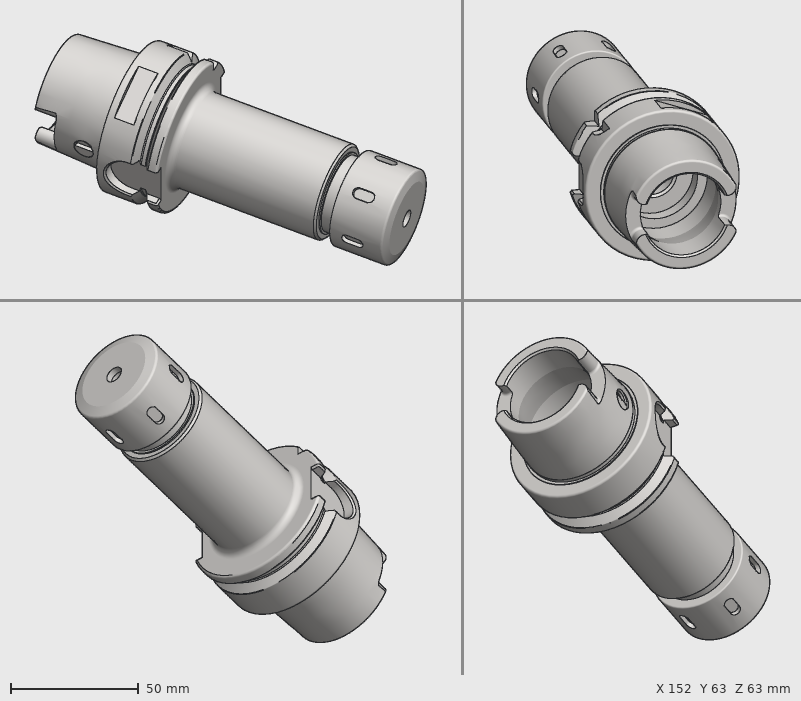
import cadquery as cq
import math


shank_length = 32.0
shank_end_radius = 22.7
shank_root_radius = 24.3
shank_end_fillet = 1.0
undercut_length = 1.5
undercut_depth = 0.25
face_relief_radius = 25.4
face_relief_depth = 0.4

flange_radius = 63.0 / 2
flange_length = 26.0
flange_edge_radius = 1.0
groove_centre = 18.15
groove_floor_radius = 27.3
groove_floor_width = 2.4
groove_flank_angle = 30.0
groove_root_radius = 0.6
groove_edge_radius = 0.3

body_radius = 40.0 / 2
body_end = 90.0
body_edge_chamfer = 0.9
body_root_fillet = 3.0
neck_radius = 32.0 / 2
neck_shoulder_radius = 34.0 / 2
neck_shoulder_length = 0.6

nut_start = 96.0
nut_end = 120.0
nut_radius = body_radius
nut_face_radius = 30.5 / 2
nut_cone_length = 1.2
nut_front_fillet = 1.0
nut_rear_fillet = 0.6
nut_wall = 3.0
wrench_slots = 6
wrench_slot_length = 9.2
wrench_slot_width = 4.4
wrench_slot_depth = 2.0
wrench_slot_centre = 106.1

mouth_radius = 35.6 / 2
clamp_bore_radius = 34.0 / 2
clamp_bore_depth = 13.0
undercut_taper_length = 13.5
bore_undercut_radius = 40.0 / 2
bore_undercut_end = 6.0
inner_bore_radius = 32.0 / 2
bore_floor = 12.0
tube_hole_radius = 17.0 / 2
tube_hole_mouth_radius = 19.0 / 2
tube_hole_depth = 20.0
coolant_radius = 7.0 / 2

key_half_width = 12.5 / 2
key_edge_radius = 3.5
key_flare_start = 16.9
key_corner_fillet = 1.1
near_key_depth = 9.8
far_key_depth = 6.0

access_hole_x = -9.1
access_hole_radius = 7.5 / 2
access_seat_radius = 8.6 / 2
access_hole_depth = 1.7
shank_taper = (shank_root_radius - shank_end_radius) / shank_length
access_shank_radius = shank_root_radius + access_hole_x * shank_taper

drive_floor = 26.4
near_drive_width = 18.0
far_drive_width = 16.0
drive_slot_start = 4.1
drive_slot_chamfer = 0.8
drive_rim_inner = (drive_floor + flange_radius) / 2

notch_radius = 16.0 / 2
notch_floor = 19.8
notch_wall = 20.0
notch_centre_x = 12.9

label_flat_start = 3.3
label_flat_length = 8.4
label_edge_angles = (0.4, 43.4)


def revolved(points):
    """Solid of revolution about X from (x, radius) points."""
    return cq.Workplane("XY").polyline(points).close().revolve(360, (0, 0, 0), (1, 0, 0))


def x_cylinder(start, end, radius):
    """Solid cylinder on the X axis between two X positions."""
    return cq.Workplane("YZ", origin=(start, 0, 0)).circle(radius).extrude(end - start)


def edges_at(x, radius):
    """Selector for the circular edges on the X axis at a given place."""
    tolerance = 0.01
    low = (x - tolerance, -radius - tolerance, -radius - tolerance)
    high = (x + tolerance, radius + tolerance, radius + tolerance)
    return cq.selectors.BoxSelector(low, high, boundingbox=True)


def make_shank():
    undercut_radius = shank_root_radius - undercut_depth
    shank = revolved([
        (-shank_length, 0),
        (-shank_length, shank_end_radius),
        (-undercut_length, shank_root_radius),
        (-undercut_length + undercut_depth, undercut_radius),
        (face_relief_depth, undercut_radius),
        (face_relief_depth, 0),
    ])
    return shank.edges(edges_at(-shank_length, shank_end_radius)).fillet(shank_end_fillet)


def make_drive_slot(width, side):
    """Round-ended slot cutter, open to the rear of the flange, on the side (-1 or 1) of Y."""
    radius = width / 2
    centre_x = drive_slot_start + radius
    return (
        cq.Workplane("XZ", origin=(0, side * drive_floor, 0))
        .moveTo(flange_length, radius)
        .lineTo(centre_x, radius)
        .threePointArc((drive_slot_start, 0), (centre_x, -radius))
        .lineTo(flange_length, -radius)
        .close()
        .extrude(-side * flange_radius)
    )


def make_notch():
    """Slot milled along Y with a round inner end, closed by an upright wall."""
    centre_z = notch_floor + notch_radius
    return (
        cq.Workplane("XZ", origin=(0, notch_wall, 0))
        .moveTo(flange_length, notch_floor)
        .lineTo(notch_centre_x, notch_floor)
        .threePointArc(
            (notch_centre_x - notch_radius, centre_z),
            (notch_centre_x, centre_z + notch_radius),
        )
        .lineTo(flange_length, centre_z + notch_radius)
        .close()
        .extrude(-flange_radius)
    )


def make_label_flat():
    """Block that mills a flat across a chord of the flange."""
    middle_angle = sum(label_edge_angles) / 2
    half_angle = (label_edge_angles[1] - label_edge_angles[0]) / 2
    flat_distance = flange_radius * math.cos(math.radians(half_angle))
    return (
        cq.Workplane("XY", origin=(0, 0, flat_distance))
        .moveTo(label_flat_start + label_flat_length / 2, 0)
        .rect(label_flat_length, 2 * flange_radius)
        .extrude(flange_radius)
        .rotate((0, 0, 0), (1, 0, 0), middle_angle)
    )


def make_groove():
    """Ring-shaped cutter with sloping flanks, rounded floor corners and rounded rims."""
    flank_angle = math.radians(groove_flank_angle)
    floor_half = groove_floor_width / 2
    flank_rise = flange_radius - groove_floor_radius
    top_half = floor_half + flank_rise * math.tan(flank_angle)
    half_turn = (math.pi / 2 - flank_angle) / 2
    root_setback = groove_root_radius * math.tan(half_turn)
    edge_setback = groove_edge_radius * math.tan(half_turn)
    flat_half = floor_half - root_setback
    root_half = floor_half + root_setback * math.sin(flank_angle)
    root_top = groove_floor_radius + root_setback * math.cos(flank_angle)
    edge_half = top_half - edge_setback * math.sin(flank_angle)
    edge_bottom = flange_radius - edge_setback * math.cos(flank_angle)
    mouth_half = top_half + edge_setback
    return (
        cq.Workplane("XY", origin=(groove_centre, 0, 0))
        .moveTo(-mouth_half, flange_radius)
        .radiusArc((-edge_half, edge_bottom), groove_edge_radius)
        .lineTo(-root_half, root_top)
        .radiusArc((-flat_half, groove_floor_radius), -groove_root_radius)
        .lineTo(flat_half, groove_floor_radius)
        .radiusArc((root_half, root_top), -groove_root_radius)
        .lineTo(edge_half, edge_bottom)
        .radiusArc((mouth_half, flange_radius), groove_edge_radius)
        .close()
        .revolve(360, (0, 0, 0), (1, 0, 0))
    )


def make_flange():
    flange = x_cylinder(0, flange_length, flange_radius).edges().fillet(flange_edge_radius)
    flange = flange.cut(x_cylinder(0, face_relief_depth, face_relief_radius))
    for width, side in ((near_drive_width, -1), (far_drive_width, 1)):
        flange = flange.cut(make_drive_slot(width, side))
        rim = cq.selectors.BoxSelector(
            (0, side * drive_rim_inner, -width),
            (flange_length - flange_edge_radius, side * 2 * flange_radius, width),
        )
        flange = flange.edges(rim).chamfer(drive_slot_chamfer)
    flange = flange.cut(make_notch()).cut(make_label_flat())
    return flange.cut(make_groove())


def make_body():
    body = x_cylinder(flange_length, body_end, body_radius)
    body = body.faces(">X").edges().chamfer(body_edge_chamfer)
    root = (
        cq.Workplane("XY")
        .moveTo(flange_length, 0)
        .lineTo(flange_length, body_radius + body_root_fillet)
        .radiusArc((flange_length + body_root_fillet, body_radius), -body_root_fillet)
        .lineTo(flange_length + body_root_fillet, 0)
        .close()
        .revolve(360, (0, 0, 0), (1, 0, 0))
    )
    neck = x_cylinder(body_end, nut_end - nut_wall, neck_radius)
    shoulder = x_cylinder(body_end, body_end + neck_shoulder_length, neck_shoulder_radius)
    return body.union(root).union(shoulder).union(neck)


def make_bore():
    """Cutter for the undercut clamping bore, the coolant tube hole and the coolant channel."""
    mouth_depth = mouth_radius - clamp_bore_radius
    tube_chamfer = tube_hole_mouth_radius - tube_hole_radius
    clamp_bore_end = -shank_length + clamp_bore_depth
    return revolved([
        (-shank_length, 0),
        (-shank_length, mouth_radius),
        (-shank_length + mouth_depth, clamp_bore_radius),
        (clamp_bore_end, clamp_bore_radius),
        (clamp_bore_end + undercut_taper_length, bore_undercut_radius),
        (bore_undercut_end, bore_undercut_radius),
        (bore_undercut_end, inner_bore_radius),
        (bore_floor, inner_bore_radius),
        (bore_floor, tube_hole_mouth_radius),
        (bore_floor + tube_chamfer, tube_hole_radius),
        (bore_floor + tube_hole_depth, tube_hole_radius),
        (bore_floor + tube_hole_depth, coolant_radius),
        (nut_end, coolant_radius),
        (nut_end, 0),
    ])


def make_key_slot(depth, side):
    """Slot cutter in the shank end whose flanks round outwards towards the outside."""
    flare_end = key_flare_start + key_edge_radius
    half_flare = key_half_width + key_edge_radius
    outside = flange_radius
    diagonal = key_edge_radius * math.sqrt(0.5)
    slot = (
        cq.Workplane("YZ", origin=(-shank_length, 0, 0))
        .moveTo(0, -key_half_width)
        .lineTo(side * key_flare_start, -key_half_width)
        .threePointArc(
            (side * (key_flare_start + diagonal), -half_flare + diagonal),
            (side * flare_end, -half_flare),
        )
        .lineTo(side * flare_end, -outside)
        .lineTo(side * outside, -outside)
        .lineTo(side * outside, outside)
        .lineTo(side * flare_end, outside)
        .lineTo(side * flare_end, half_flare)
        .threePointArc(
            (side * (key_flare_start + diagonal), half_flare - diagonal),
            (side * key_flare_start, key_half_width),
        )
        .lineTo(0, key_half_width)
        .close()
        .extrude(depth)
    )
    return slot.faces(">X").edges().fillet(key_corner_fillet)


def make_access_hole():
    """Flat round seat whose upper half is a deeper pocket with a tapered rim."""
    seat_y = math.sqrt(access_shank_radius ** 2 - access_seat_radius ** 2)
    rim_depth = access_seat_radius - access_hole_radius
    span = 2 * flange_radius
    plane = cq.Workplane("XZ", origin=(access_hole_x, 0, 0))
    seat = plane.workplane(offset=seat_y).circle(access_seat_radius).extrude(span)
    pocket = plane.workplane(offset=seat_y - access_hole_depth).circle(access_hole_radius).extrude(span)
    rim = (
        plane.workplane(offset=seat_y - rim_depth).circle(access_hole_radius)
        .workplane(offset=rim_depth).circle(access_seat_radius)
        .loft()
    )
    upper_half = cq.Workplane("XY").box(2 * span, 2 * span, span, centered=(True, True, False))
    return pocket.union(rim).intersect(upper_half).union(seat)


def make_holder():
    holder = make_shank().union(make_flange()).union(make_body()).cut(make_bore())
    for depth, side in ((near_key_depth, -1), (far_key_depth, 1)):
        holder = holder.cut(make_key_slot(depth, side))
    return holder.cut(make_access_hole())


def make_nut():
    nut = revolved([
        (nut_start, 0),
        (nut_start, nut_radius),
        (nut_end - nut_cone_length, nut_radius),
        (nut_end, nut_face_radius),
        (nut_end, 0),
    ])
    nut = nut.edges(edges_at(nut_start, nut_radius)).fillet(nut_rear_fillet)
    nut = nut.edges(edges_at(nut_end - nut_cone_length, nut_radius)).fillet(nut_front_fillet)
    nut = nut.cut(x_cylinder(nut_start, nut_end - nut_wall, neck_radius))
    nut = nut.cut(x_cylinder(nut_start, nut_end, coolant_radius))
    slot = (
        cq.Workplane("XZ", origin=(wrench_slot_centre, 0, 0))
        .workplane(offset=nut_radius - wrench_slot_depth)
        .slot2D(wrench_slot_length, wrench_slot_width)
        .extrude(2 * wrench_slot_depth)
    )
    for index in range(wrench_slots):
        nut = nut.cut(slot.rotate((0, 0, 0), (1, 0, 0), index * 360 / wrench_slots))
    return nut


holder = make_holder()
nut = make_nut()
result = cq.Compound.makeCompound([holder.val(), nut.val()])